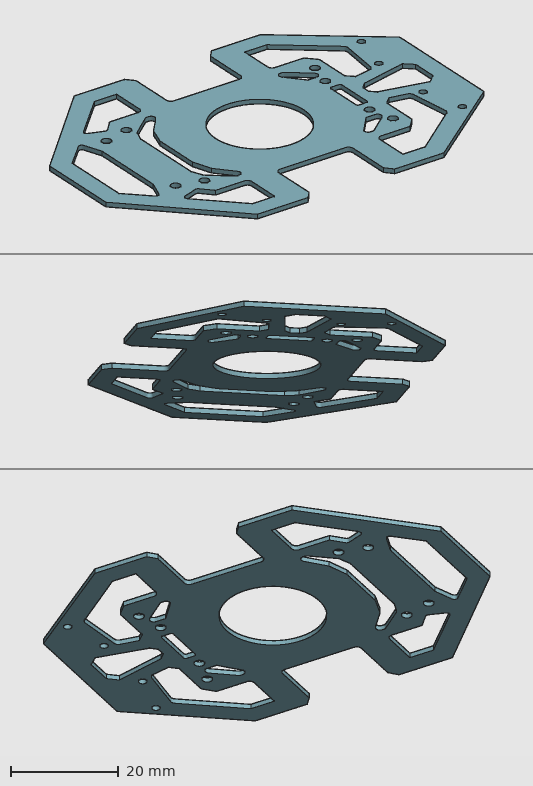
import cadquery as cq
import math

length = 83.0
width = 58.5
thickness = 1.0
half_length = length / 2
half_width = width / 2

front_edge_half = 9.0
rear_edge_half = 13.45
front_side_corner_y = 21.4
rear_side_corner_y = 21.1
waist_half_width = 16.9
waist_half_length = 8.5
arm_chamfer_x = 1.7
arm_chamfer_y = 1.4

corner_radius = 1.0
slot_end_radius = 0.8
acute_radius = 0.7
small_radius = 0.4
sharp = 0

bore_diameter = 20.0
pocket_outer_x = 25.2
pocket_inner_y = 14.6
pocket_corner_y = 19.7
hub_corner_y = 22.2
rear_web_y = 24.15
vent_inner_x = 9.3
vent_bend_y = 17.6
vent_end_x = 14.45
vent_end_inner_y = 13.2
vent_end_outer_y = 15.7
rear_slot_width = 8.8
rear_slot_height = 2.5
rear_slot_y = 20.3

small_hole_diameter = 1.6
small_hole_centres = [(16.1, 34.7), (7.05, 32.2)]
screw_hole_diameter = 2.0
screw_hole_centres = [(12.45, 21.5), (7.05, 20.0), (12.45, -21.5), (11.0, -27.05)]


def rounded_prism(corners):
    """Extrude a closed outline of (x, y, radius) corners to the plate thickness."""
    outline = None
    for index, (x, y, radius) in enumerate(corners):
        before = cq.Vector(*corners[index - 1][:2])
        after = cq.Vector(*corners[(index + 1) % len(corners)][:2])
        corner = cq.Vector(x, y)
        to_before = (before - corner).normalized()
        to_after = (after - corner).normalized()
        half_angle = to_before.getAngle(to_after) / 2
        setback = radius / math.tan(half_angle)
        start = corner + to_before * setback
        if outline is None:
            outline = cq.Workplane("XY").moveTo(start.x, start.y)
        else:
            outline = outline.lineTo(start.x, start.y)
        if radius > 0:
            bisector = (to_before + to_after).normalized()
            middle = corner + bisector * (radius / math.sin(half_angle) - radius)
            end = corner + to_after * setback
            outline = outline.threePointArc((middle.x, middle.y), (end.x, end.y))
    return outline.close().extrude(thickness)


def mirrored(half_corners):
    """Complete a run of +X corners with its reflection in the YZ plane."""
    return half_corners + [(-x, y, radius) for x, y, radius in reversed(half_corners)]


def both_sides(cutter):
    """Pair a +X cutter with its reflection in the YZ plane."""
    return cutter.union(cutter.mirror("YZ"))


def plate_blank():
    arm_end_y = waist_half_length + arm_chamfer_y
    arm_edge_x = half_width - arm_chamfer_x
    return rounded_prism(mirrored([
        (rear_edge_half, half_length, sharp),
        (half_width, rear_side_corner_y, sharp),
        (half_width, arm_end_y, sharp),
        (arm_edge_x, waist_half_length, sharp),
        (waist_half_width, waist_half_length, corner_radius),
        (waist_half_width, -waist_half_length, corner_radius),
        (arm_edge_x, -waist_half_length, sharp),
        (half_width, -arm_end_y, sharp),
        (half_width, -front_side_corner_y, sharp),
        (front_edge_half, -half_length, sharp),
    ]))


def rear_side_pockets():
    return both_sides(rounded_prism([
        (waist_half_width, pocket_inner_y, corner_radius),
        (pocket_outer_x, pocket_inner_y, sharp),
        (pocket_outer_x, pocket_corner_y, sharp),
        (16.1, 31.3, corner_radius),
        (6.15, 30.05, corner_radius),
        (5.3, 25.65, sharp),
        (6.7, rear_web_y, sharp),
        (14.8, rear_web_y, sharp),
        (waist_half_width, hub_corner_y, sharp),
    ]))


def front_side_pockets():
    return both_sides(rounded_prism([
        (waist_half_width, -pocket_inner_y, corner_radius),
        (pocket_outer_x, -pocket_inner_y, sharp),
        (pocket_outer_x, -pocket_corner_y, sharp),
        (15.85, -29.05, acute_radius),
        (14.3, -24.6, acute_radius),
        (waist_half_width, -hub_corner_y, sharp),
    ]))


def rear_window():
    return rounded_prism(mirrored([
        (2.7, 37.5, sharp),
        (4.4, 35.7, sharp),
        (2.1, 25.3, sharp),
        (0.9, rear_web_y, sharp),
    ]))


def front_window():
    return rounded_prism(mirrored([
        (8.1, -30.1, sharp),
        (12.95, -31.9, acute_radius),
        (7.5, -37.4, sharp),
    ]))


def rear_vents():
    return both_sides(rounded_prism([
        (vent_inner_x, 22.0, slot_end_radius),
        (vent_inner_x, vent_bend_y, sharp),
        (vent_end_x, vent_end_inner_y, slot_end_radius),
        (vent_end_x, vent_end_outer_y, slot_end_radius),
    ]))


def front_vent():
    return rounded_prism(mirrored([
        (5.15, -19.0, sharp),
        (vent_inner_x, -vent_bend_y, sharp),
        (vent_end_x, -vent_end_inner_y, slot_end_radius),
        (vent_end_x, -vent_end_outer_y, slot_end_radius),
        (10.5, -20.4, sharp),
        (8.05, -21.4, sharp),
    ]))


def rear_slot():
    half_slot = rear_slot_width / 2
    return rounded_prism(mirrored([
        (half_slot, rear_slot_y + rear_slot_height / 2, small_radius),
        (half_slot, rear_slot_y - rear_slot_height / 2, small_radius),
    ]))


def hole_pairs(diameter, centres):
    holes = cq.Workplane("XY").pushPoints(centres).circle(diameter / 2).extrude(thickness)
    return both_sides(holes)


result = (
    plate_blank()
    .cut(cq.Workplane("XY").circle(bore_diameter / 2).extrude(thickness))
    .cut(rear_side_pockets())
    .cut(front_side_pockets())
    .cut(rear_window())
    .cut(front_window())
    .cut(rear_vents())
    .cut(front_vent())
    .cut(rear_slot())
    .cut(hole_pairs(small_hole_diameter, small_hole_centres))
    .cut(hole_pairs(screw_hole_diameter, screw_hole_centres))
)